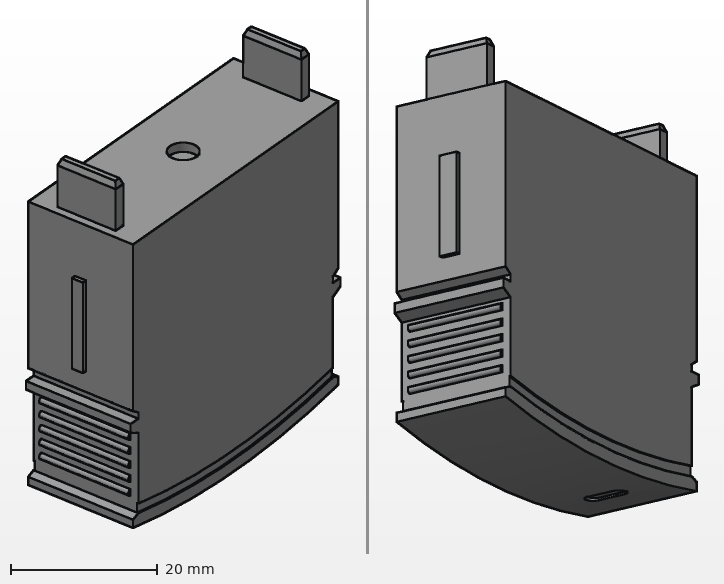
import cadquery as cq
import math

width = 18.0
half_length = 23.0
waist_half_length = 21.8
body_height = 48.0

notch_top_z = 21.1
notch_slope_end_z = 20.3
flange_half_length = 23.5
flange_top_z = 19.3
flange_edge_bottom_z = 17.9
flange_root_z = 17.0

bottom_radius = 118.0
groove_lower_offset = 2.0
groove_upper_offset = 3.5
groove_depth = 0.2
lip_edge_top_z = 3.6

blade_width = 10.0
blade_thickness = 1.7
blade_height = 7.7
blade_spacing = 41.6
blade_bevel_height = 1.0
blade_bevel_inset = 0.4

key_half_length = 23.7
key_bottom_z = 24.5
key_top_z = 39.1
front_key_width = 1.9
rear_key_width = 2.8

rib_count = 5
rib_pitch = 2.25
rib_radius = 0.5
rib_length = 15.3
lowest_rib_z = 6.9

hole_diameter = 4.5
hole_depth = 1.5

recess_width = 6.3
recess_length = 2.7
recess_corner_radius = 1.1
recess_center_y = -14.25
recess_floor_z = 1.4


def arc_z(y, offset):
    """Height at y of the arc lying the given offset above the bowed underside."""
    return bottom_radius - math.sqrt((bottom_radius - offset) ** 2 - y ** 2)


def make_body():
    right_side = [
        (half_length, lip_edge_top_z),
        (waist_half_length, arc_z(waist_half_length, groove_lower_offset)),
        (waist_half_length, flange_root_z),
        (flange_half_length, flange_edge_bottom_z),
        (flange_half_length, flange_top_z),
        (waist_half_length, flange_top_z),
        (waist_half_length, notch_slope_end_z),
        (half_length, notch_top_z),
        (half_length, body_height),
    ]
    left_side = [(-y, z) for y, z in reversed(right_side)]
    corner_z = arc_z(half_length, 0)
    return (
        cq.Workplane("YZ")
        .moveTo(-half_length, corner_z)
        .threePointArc((0, 0), (half_length, corner_z))
        .polyline(right_side + left_side, includeCurrent=True)
        .close()
        .extrude(width / 2, both=True)
    )


def make_side_groove(side):
    """Curved band to remove from the side face at X = side * width / 2."""
    end = waist_half_length
    lower_end_z = arc_z(end, groove_lower_offset)
    upper_end_z = arc_z(end, groove_upper_offset)
    band = (
        cq.Workplane("YZ")
        .moveTo(-end, lower_end_z)
        .threePointArc((0, groove_lower_offset), (end, lower_end_z))
        .lineTo(end, upper_end_z)
        .threePointArc((0, groove_upper_offset), (-end, upper_end_z))
        .close()
        .extrude(groove_depth, both=True)
    )
    return band.translate((side * width / 2, 0, 0))


def make_blade(side):
    straight_height = blade_height - blade_bevel_height
    shank = (
        cq.Workplane("XY")
        .rect(blade_width, blade_thickness)
        .extrude(straight_height)
    )
    tip = (
        cq.Workplane("XY")
        .workplane(offset=straight_height)
        .rect(blade_width, blade_thickness)
        .workplane(offset=blade_bevel_height)
        .rect(blade_width - 2 * blade_bevel_inset, blade_thickness - 2 * blade_bevel_inset)
        .loft(ruled=True)
    )
    return shank.union(tip).translate((0, side * blade_spacing / 2, body_height))


def make_key(side, key_width):
    key_depth = key_half_length - waist_half_length
    return (
        cq.Workplane("XY")
        .box(key_width, key_depth, key_top_z - key_bottom_z)
        .translate((0, side * (key_half_length - key_depth / 2), (key_top_z + key_bottom_z) / 2))
    )


def make_rib(side, z):
    """Round bar centred on the waist wall, so that half of it stands proud."""
    return (
        cq.Workplane("YZ")
        .center(side * waist_half_length, z)
        .circle(rib_radius)
        .extrude(rib_length / 2, both=True)
    )


def make_top_hole():
    return (
        cq.Workplane("XY")
        .workplane(offset=body_height - hole_depth)
        .circle(hole_diameter / 2)
        .extrude(hole_depth)
    )


def make_bottom_recess():
    return (
        cq.Workplane("XY")
        .center(0, recess_center_y)
        .rect(recess_width, recess_length)
        .extrude(recess_floor_z)
        .edges("|Z")
        .fillet(recess_corner_radius)
    )


result = make_body()

for side in (-1, 1):
    result = result.cut(make_side_groove(side)).union(make_blade(side))
    for rib_index in range(rib_count):
        result = result.union(make_rib(side, lowest_rib_z + rib_index * rib_pitch))

result = result.union(make_key(-1, front_key_width)).union(make_key(1, rear_key_width))
result = result.cut(make_top_hole()).cut(make_bottom_recess())